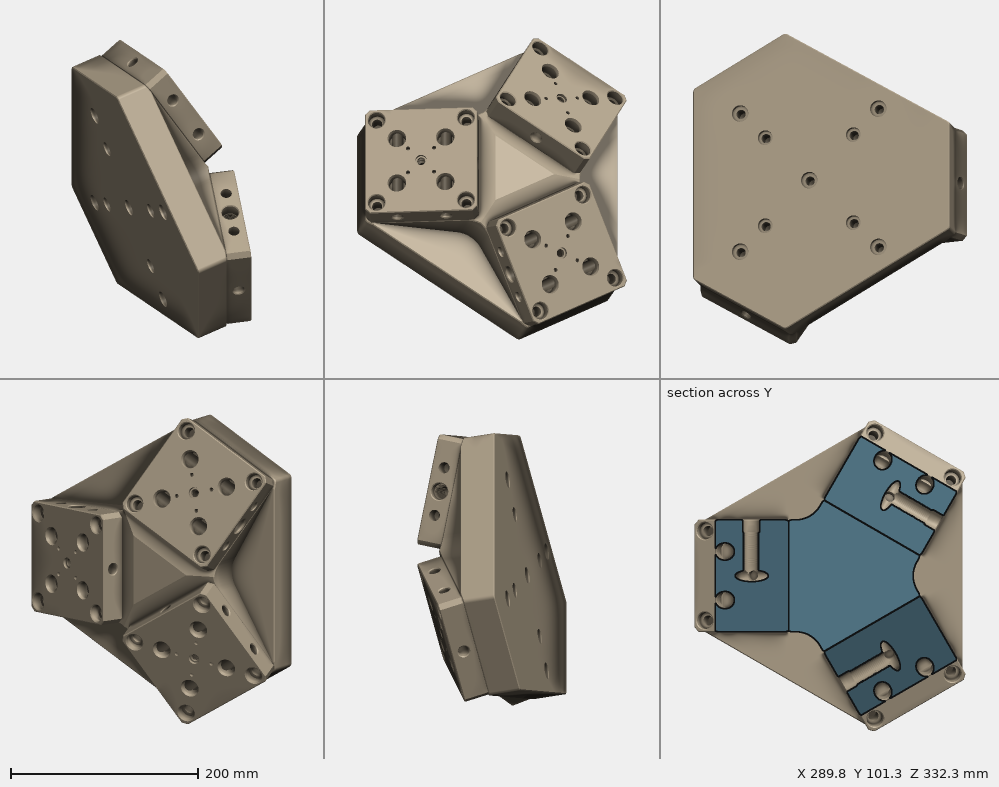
import cadquery as cq
import math


arm_angles = [0, 120, 240]
gap_angles = [60, 180, 300]
tilt = 20
edge_break = 1.0

plate_side = 120.0
plate_thick = 27.0
plate_corner = 5.0
plate_reach = 151.2
plate_low = 35.2

bolt_offset = 48.0
bolt_head_dia = 18.0
bolt_head_depth = 11.0
bolt_dia = 11.0

port_offset = 26.0
port_dia = 18.0
port_seat_dia = 20.0
port_seat_depth = 3.3
bore_dia = 12.0
bore_mouth_dia = 14.0

pin_offset = 14.0
pin_dia = 4.3
pin_depth = 6.5

pilot_recess_dia = 12.0
pilot_recess_depth = 3.3
pilot_dia = 8.5
pilot_exit_dia = 11.0

gauge_head_dia = 18.0
gauge_head_depth = 13.3
gauge_dia = 15.0
thread_dia = 16.0
thread_pitch = 2.0

foot_short_apothem = 152.5
foot_long_apothem = 126.3
foot_thick = 38.0
foot_corner = 5.0
peak_height = 82.5
arm_blend = 30.0

outer_mount_offset = 75.0
inner_mount_offset = 48.0
outer_mount_head_dia = 18.0
inner_mount_head_dia = 16.0
mount_head_depth = 5.5
mount_dia = 10.0
mount_depth = 26.5
drill_tip_angle = 118

slope = math.tan(math.radians(tilt))
apex_height = plate_low + plate_reach * slope
half_side = plate_side / 2
arm_start = foot_thick / 2
arm_height = peak_height - arm_start
mid_thick = plate_thick / 2
envelope = 2 * (foot_short_apothem + foot_long_apothem)


def turned(body, angle):
    return body.rotate((0, 0, 0), (0, 0, 1), angle)


def polar(radius, angle):
    return radius * math.cos(math.radians(angle)), radius * math.sin(math.radians(angle))


def square_points(offset):
    return [(x, y) for x in (-offset, offset) for y in (-offset, offset)]


def bore(diameter, depth, start, direction):
    return cq.Solid.makeCylinder(diameter / 2, depth, cq.Vector(*start), cq.Vector(*direction))


def taper(mouth_dia, end_dia, depth, start, direction):
    return cq.Solid.makeCone(mouth_dia / 2, end_dia / 2, depth, cq.Vector(*start), cq.Vector(*direction))


def plate_blank():
    blank = cq.Workplane("XY").rect(plate_side, plate_side).extrude(plate_thick)
    blank = blank.edges("|Z").chamfer(plate_corner)
    return blank.faces("<Z or >Z").chamfer(edge_break)


def top_hole_cuts():
    down = (0, 0, -1)
    cuts = []
    for x, y in square_points(bolt_offset):
        start = (x, y, plate_thick)
        cuts.append(bore(bolt_dia, plate_thick, start, down))
        cuts.append(bore(bolt_head_dia, bolt_head_depth, start, down))
        cuts.append(taper(bolt_head_dia + 2 * edge_break, bolt_head_dia, edge_break, start, down))
    for x, y in square_points(port_offset):
        start = (x, y, plate_thick)
        cuts.append(bore(port_dia, mid_thick, start, down))
        cuts.append(taper(port_seat_dia, port_dia, port_seat_depth, start, down))
    for x, y in square_points(pin_offset):
        cuts.append(bore(pin_dia, pin_depth, (x, y, plate_thick), down))
    return cuts


def pilot_cuts():
    top = (0, 0, plate_thick)
    return [
        bore(pilot_recess_dia, pilot_recess_depth, top, (0, 0, -1)),
        bore(pilot_dia, plate_thick, top, (0, 0, -1)),
        bore(pilot_exit_dia, mid_thick, (0, 0, 0), (0, 0, 1)),
    ]


def cross_bore_cuts():
    cuts = []
    for x in (-port_offset, port_offset):
        start = (x, half_side, mid_thick)
        cuts.append(bore(bore_dia, plate_side, start, (0, -1, 0)))
        cuts.append(taper(bore_mouth_dia, bore_dia, edge_break, start, (0, -1, 0)))
    return cuts


def radial_bore_cuts():
    cuts = [bore(bore_dia, plate_side, (-half_side, 0, mid_thick), (1, 0, 0))]
    for side in (-1, 1):
        start = (side * half_side, 0, mid_thick)
        cuts.append(taper(bore_mouth_dia, bore_dia, edge_break, start, (-side, 0, 0)))
    return cuts


def gauge_bore_cuts():
    inward = (0, 1, 0)
    start = (0, -half_side, mid_thick)
    cuts = [
        bore(gauge_dia, half_side, start, inward),
        bore(gauge_head_dia, gauge_head_depth, start, inward),
        taper(gauge_head_dia + 2 * edge_break, gauge_head_dia, edge_break, start, inward),
    ]
    thread_start = gauge_head_depth - half_side
    ring_count = int(-thread_start / thread_pitch)
    for i in range(ring_count):
        ring_start = (0, thread_start + i * thread_pitch, mid_thick)
        cuts.append(bore(thread_dia, thread_pitch / 2, ring_start, inward))
    return cuts


def make_valve_plate():
    plate = plate_blank()
    hole_groups = [top_hole_cuts(), pilot_cuts(), cross_bore_cuts(), radial_bore_cuts(), gauge_bore_cuts()]
    for group in hole_groups:
        for cut in group:
            plate = plate.cut(cq.Workplane(cut))
    plate = plate.translate((-half_side, 0, 0)).rotate((0, 0, 0), (0, 1, 0), tilt)
    return plate.translate((plate_reach, 0, plate_low))


def foot_prism(height):
    half_short = (foot_long_apothem - foot_short_apothem / 2) / math.sin(math.radians(60))
    radius = math.hypot(foot_short_apothem, half_short)
    spread = math.degrees(math.atan2(half_short, foot_short_apothem))
    corners = [polar(radius, angle + side * spread) for angle in arm_angles for side in (-1, 1)]
    prism = cq.Workplane("XY").polyline(corners).close().extrude(height)
    return prism.edges("|Z").fillet(foot_corner)


def slope_off(body):
    """Cut away everything above the three inclined faces."""
    above = cq.Workplane("XY").box(envelope, envelope, envelope, centered=(True, True, False))
    above = above.rotate((0, 0, 0), (0, 1, 0), tilt).translate((0, 0, apex_height))
    for angle in arm_angles:
        body = body.cut(turned(above, angle))
    return body


def break_rim(body):
    """Chamfer the edges where the upper faces meet upright walls."""
    upper = [face for face in body.faces().vals() if face.normalAt().z > slope]
    upper_edges = [edge for face in upper for edge in face.Edges()]
    rim = [edge for edge in upper_edges if sum(edge.isSame(other) for other in upper_edges) == 1]
    return body.newObject(rim).chamfer(edge_break)


def make_foot():
    foot = slope_off(foot_prism(foot_thick))
    return break_rim(foot.faces("<Z").chamfer(edge_break))


def make_arms():
    arms = cq.Workplane("XY").circle(half_side).extrude(arm_height)
    for angle in arm_angles:
        arm = cq.Workplane("XY").box(envelope / 2, plate_side, arm_height, centered=(False, True, False))
        arms = arms.union(turned(arm, angle))
    root_radius = half_side / math.cos(math.radians(30))
    for angle in gap_angles:
        root = cq.selectors.NearestToPointSelector((*polar(root_radius, angle), arm_height / 2))
        arms = arms.edges(root).fillet(arm_blend)
    arms = arms.intersect(foot_prism(arm_height)).translate((0, 0, arm_start))
    return break_rim(slope_off(arms))


def mount_cuts():
    up = (0, 0, 1)
    tip_depth = mount_dia / 2 / math.tan(math.radians(drill_tip_angle / 2))
    mounts = [(point, outer_mount_head_dia) for point in [(0, 0)] + square_points(outer_mount_offset)]
    mounts += [(point, inner_mount_head_dia) for point in square_points(inner_mount_offset)]
    cuts = []
    for (x, y), head_dia in mounts:
        cuts.append(bore(head_dia, mount_head_depth, (x, y, 0), up))
        cuts.append(bore(mount_dia, mount_depth, (x, y, 0), up))
        cuts.append(taper(mount_dia, 0, tip_depth, (x, y, mount_depth), up))
    return cuts


def make_base():
    base = make_foot().union(make_arms())
    for cut in mount_cuts():
        base = base.cut(cq.Workplane(cut))
    return base


def laid_over(body):
    return body.rotate((0, 0, 0), (1, 0, 0), -90)


base = laid_over(make_base())
valve_plate = make_valve_plate()
valve_plates = [laid_over(turned(valve_plate, angle)) for angle in arm_angles]

result = cq.Compound.makeCompound([base.val(), *[plate.val() for plate in valve_plates]])